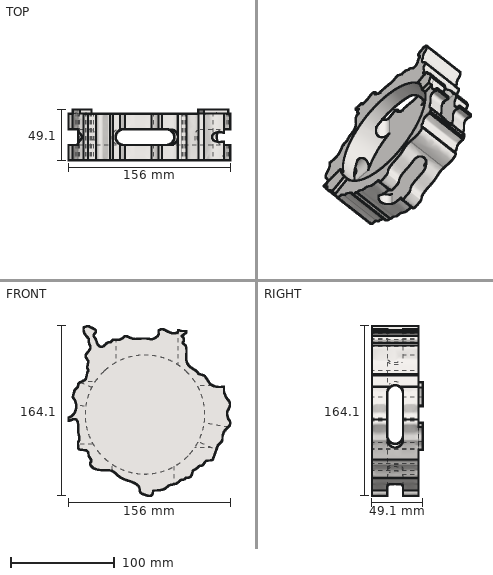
import cadquery as cq
import math

BODY_DEPTH = 45.0
LUG_HEIGHT = 4.1
CAVITY_DIAMETER = 115.0

SLOT_LENGTH = 59.9
SLOT_WIDTH = BODY_DEPTH / 3
SLOT_COUNT = 4
SLOT_SIDE_OFFSET = 1.8
SLOT_REACH = 98.5

LUG_COUNT = 2
LUG_AXIS_ANGLE = -17.4
LUG_HALF_TAPER = 7.0
LUG_APEX_OFFSET = 21.0
LUG_REACH = 131.3

COAST_START = (-54.8, 85.5)
COAST = [
    [(-52.7, 84.2), (-47.9, 81.7), (-47.0, 80.2), (-48.4, 78.1), (-49.4, 75.6), (-47.4, 72.7),
     (-46.0, 68.3), (-42.8, 65.5), (-40.0, 65.8), (-37.0, 68.5), (-33.5, 69.5)],
    [(-30.7, 72.2)],
    [(-24.3, 72.2)],
    [(-22.0, 73.3), (-19.2, 75.6)],
    [(-17.0, 75.3), (-12.6, 73.3), (-5.0, 73.2), (0.0, 73.3), (6.0, 72.5)],
    [(10.8, 74.5), (13.1, 77.8), (13.0, 80.5), (14.5, 81.7), (16.5, 82.5)],
    [(21.8, 80.0), (25.3, 78.6), (30.2, 78.6)],
    [(31.5, 79.4), (31.7, 81.5)],
    [(35.1, 80.5)],
    [(40.0, 80.5)],
    [(40.0, 79.0)],
    [(35.5, 75.5)],
    [(37.5, 72.8), (36.1, 68.9)],
    [(39.2, 66.6)],
    [(40.0, 62.3), (39.9, 51.8), (41.5, 47.9), (44.5, 45.1), (47.7, 43.2), (51.7, 39.2)],
    [(57.0, 37.7)],
    [(59.9, 33.8), (62.8, 29.4), (66.8, 27.2), (71.4, 26.5), (76.1, 26.9)],
    [(76.3, 21.2), (78.1, 16.7), (81.0, 12.8), (82.0, 9.4), (81.4, 6.9), (79.2, 2.6), (79.5, -2.1),
     (80.4, -4.8)],
    [(81.9, -6.5), (81.5, -10.5), (78.9, -13.3), (76.0, -16.7), (74.8, -20.7), (74.7, -24.1),
     (73.0, -26.9), (70.4, -29.5), (68.5, -34.3), (66.8, -39.5), (65.3, -43.5)],
    [(62.8, -44.3), (59.0, -44.6), (57.1, -46.8), (55.0, -49.2), (52.5, -49.5), (49.9, -51.8),
     (46.3, -54.1), (45.5, -57.1), (43.3, -60.2), (39.2, -60.9)],
    [(37.4, -62.7), (35.0, -63.0), (32.5, -64.8), (30.4, -66.6), (26.3, -67.3), (23.3, -68.3),
     (18.7, -71.7), (13.8, -73.0), (8.0, -73.2)],
    [(7.9, -74.5), (6.9, -77.3), (4.0, -78.6), (1.1, -77.8), (-3.0, -76.3), (-4.8, -74.5), (-5.4, -70.7),
     (-8.2, -67.1), (-13.8, -64.5), (-20.7, -62.2), (-25.1, -59.5), (-29.2, -56.0), (-36.1, -53.7)],
    [(-46.5, -53.0), (-49.9, -51.5), (-53.2, -47.0)],
    [(-51.8, -43.3), (-54.1, -40.0), (-54.8, -36.5), (-56.6, -34.6), (-59.9, -34.0), (-63.0, -33.8)],
    [(-64.3, -32.5)],
    [(-64.6, -27.0)],
    [(-63.3, -22.0), (-64.2, -18.2), (-64.3, -11.0), (-65.0, -6.7),
     (-66.8, -4.6), (-69.7, -4.6), (-71.9, -5.7), (-73.8, -5.9)],
    [(-73.8, -3.1)],
    [(-70.7, -1.6), (-67.8, 1.8), (-66.3, 6.2), (-66.5, 10.3), (-67.6, 13.8), (-69.5, 16.7)],
    [(-68.7, 20.3), (-67.5, 23.8), (-64.8, 26.5), (-64.2, 29.5), (-59.5, 32.3), (-57.0, 34.6),
     (-56.1, 38.4), (-54.3, 42.5)],
    [(-55.6, 46.0), (-54.6, 51.4), (-57.3, 56.1), (-55.1, 60.0), (-52.7, 63.5), (-52.5, 65.6),
     (-54.0, 68.7), (-54.3, 72.7), (-56.8, 76.0), (-59.0, 80.0), (-58.7, 84.0), (-56.6, 84.8), COAST_START],
]

TURN_AXIS = ((0, 0, 0), (0, -1, 0))


def plane_at(y):
    """XZ sketch plane at depth y. Its normal is -Y, so extruding toward the back is negative."""
    return cq.Workplane("XZ", origin=(0, y, 0))


def island(y, depth):
    """Slab with the coastline as its outline, from depth y toward the back."""
    outline = plane_at(y).moveTo(*COAST_START)
    for stretch in COAST:
        if len(stretch) == 1:
            outline = outline.lineTo(*stretch[0])
        else:
            outline = outline.spline(stretch, includeCurrent=True)
    return outline.close().extrude(-depth)


def lug(angle):
    """Wedge widening outward from an apex on the far side of the cavity axis."""
    outer_end = LUG_REACH - LUG_APEX_OFFSET
    half_width = LUG_REACH * math.tan(math.radians(LUG_HALF_TAPER))
    corners = [(-LUG_APEX_OFFSET, 0), (outer_end, half_width), (outer_end, -half_width)]
    wedge = plane_at(BODY_DEPTH).polyline(corners).close().extrude(-LUG_HEIGHT)
    return wedge.rotate(*TURN_AXIS, angle)


def slot(angle):
    """Rounded slot running from the cavity axis out through one side."""
    opening = (
        cq.Workplane("XY", origin=(SLOT_SIDE_OFFSET, BODY_DEPTH / 2, 0))
        .slot2D(SLOT_LENGTH, SLOT_WIDTH)
        .extrude(SLOT_REACH)
    )
    return opening.rotate(*TURN_AXIS, angle)


body = island(0, BODY_DEPTH)

lug_layer = island(BODY_DEPTH, LUG_HEIGHT)
for index in range(LUG_COUNT):
    body = body.union(lug_layer.intersect(lug(LUG_AXIS_ANGLE + index * 360 / LUG_COUNT)))

cavity_floor = (BODY_DEPTH - SLOT_WIDTH) / 2
cavity_depth = BODY_DEPTH + LUG_HEIGHT - cavity_floor
body = body.cut(plane_at(cavity_floor).circle(CAVITY_DIAMETER / 2).extrude(-cavity_depth))

for index in range(SLOT_COUNT):
    body = body.cut(slot(index * 360 / SLOT_COUNT))

result = body